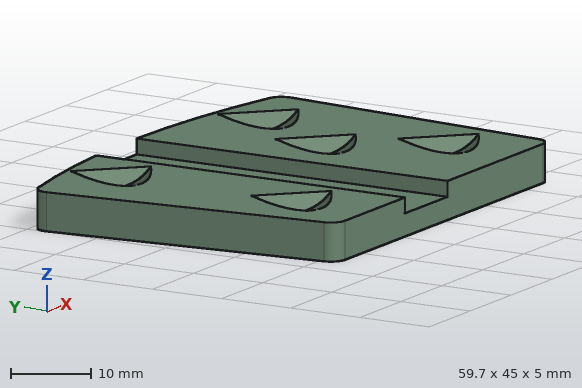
import cadquery as cq
import math

overall_width = 59.7
thickness = 5.0
plate_depth = 45.0
side_angle = 5.5
crown_radius = 132.5
corner_radius = 2.0

channel_left = -9.5
channel_width = 10.4
channel_depth = 2.0

pocket_length = 9.55
pocket_width = 10.25
pocket_tilt = 15
pocket_heading = 45
left_column = -14.8
right_column = 21.1
middle_column = 13.1
front_row = 13.3
back_row = 39.4
middle_row = (front_row + back_row) / 2
pocket_places = [(x, y) for x in (left_column, right_column) for y in (front_row, back_row)]
pocket_places.append((middle_column, middle_row))


def make_plate():
    angle = math.radians(side_angle)
    slope = math.tan(angle)
    crown_center_y = plate_depth - crown_radius
    corner_x = overall_width / 2 - corner_radius
    corner_y = crown_center_y + math.sqrt((crown_radius - corner_radius) ** 2 - corner_x**2)
    front_half_width = corner_x + corner_radius / math.cos(angle) - slope * corner_y
    back_half_width = front_half_width + slope * plate_depth
    crown = cq.Workplane("XY").center(0, crown_center_y).circle(crown_radius).extrude(thickness)
    return (
        cq.Workplane("XY")
        .moveTo(-front_half_width, 0)
        .lineTo(front_half_width, 0)
        .lineTo(back_half_width, plate_depth)
        .lineTo(-back_half_width, plate_depth)
        .close()
        .extrude(thickness)
        .intersect(crown)
        .edges("|Z and (<X or >X or <Y)")
        .fillet(corner_radius)
    )


def make_channel():
    block = cq.Workplane("XY").box(channel_width, plate_depth, channel_depth, centered=False)
    return block.translate((channel_left, 0, thickness - channel_depth))


def make_pocket(x, y):
    """Tilted cylinder whose flat end meets the top face in a chord centred on (x, y)."""
    tilt = math.radians(pocket_tilt)
    heading = math.radians(pocket_heading)
    wall_height = pocket_length * math.sin(tilt)
    radius = ((pocket_width / 2) ** 2 + wall_height**2) / (2 * wall_height)
    uphill = cq.Vector(
        -math.cos(tilt) * math.cos(heading),
        -math.cos(tilt) * math.sin(heading),
        math.sin(tilt),
    )
    wall_up = cq.Vector(
        math.sin(tilt) * math.cos(heading),
        math.sin(tilt) * math.sin(heading),
        math.cos(tilt),
    )
    end_center = cq.Vector(x, y, thickness) + wall_up * (radius - wall_height)
    return cq.Workplane(cq.Solid.makeCylinder(radius, 2 * pocket_length, end_center, uphill))


result = make_plate().cut(make_channel())
for place in pocket_places:
    result = result.cut(make_pocket(*place))